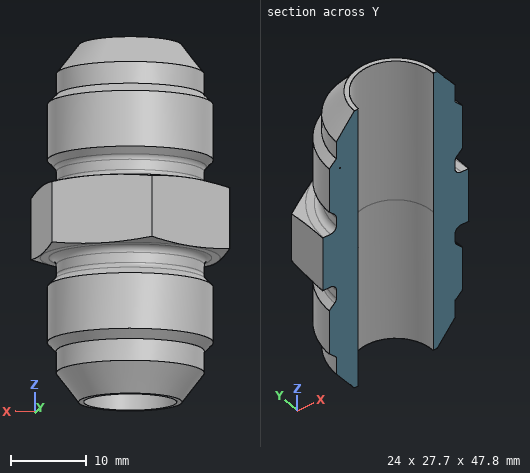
import cadquery as cq
import math

length = 47.8
bore_diameter = 12.3

across_flats = 24.0
across_corners = across_flats / math.cos(math.radians(30))
hex_height = 9.2
hex_face_diameter = 23.8
hex_chamfer_angle = 15.0

nose_diameter = 13.65
neck_diameter = 19.6
thread_diameter = 21.95
cone_length = 3.85
collar_length = 2.9
thread_length = 7.45
groove_fillet = 0.95

nose_radius = nose_diameter / 2
neck_radius = neck_diameter / 2
thread_radius = thread_diameter / 2
half_length = length / 2
half_hex = hex_height / 2


def make_end():
    """Solid of revolution for the upper end, from the part centre to the nose."""
    cone_base = half_length - cone_length
    collar_base = cone_base - collar_length
    chamfer = thread_radius - neck_radius
    thread_top = collar_base - chamfer
    thread_bottom = thread_top - thread_length

    diagonal = groove_fillet * math.sin(math.radians(45))
    arc_start_radius = neck_radius + groove_fillet - diagonal
    arc_start = thread_bottom - (thread_radius - arc_start_radius)
    groove_top = arc_start - diagonal
    groove_bottom = half_hex + groove_fillet
    foot_radius = neck_radius + groove_fillet

    return (
        cq.Workplane("XZ")
        .moveTo(0, 0)
        .lineTo(0, half_length)
        .lineTo(nose_radius, half_length)
        .lineTo(neck_radius, cone_base)
        .lineTo(neck_radius, collar_base)
        .lineTo(thread_radius, thread_top)
        .lineTo(thread_radius, thread_bottom)
        .lineTo(arc_start_radius, arc_start)
        .tangentArcPoint((neck_radius, groove_top), relative=False)
        .lineTo(neck_radius, groove_bottom)
        .tangentArcPoint((foot_radius, half_hex), relative=False)
        .lineTo(foot_radius, 0)
        .close()
        .revolve(360, (0, 0, 0), (0, 1, 0))
    )


def make_hexagon():
    """Hexagon with corners on the Y axis and conically chamfered corners."""
    prism = (
        cq.Workplane("XY")
        .polygon(6, across_corners)
        .extrude(half_hex, both=True)
        .rotate((0, 0, 0), (0, 0, 1), 30)
    )
    face_radius = hex_face_diameter / 2
    corner_radius = across_corners / 2
    corner_drop = (corner_radius - face_radius) * math.tan(math.radians(hex_chamfer_angle))
    corner_height = half_hex - corner_drop
    envelope = (
        cq.Workplane("XZ")
        .polyline([
            (0, -half_hex),
            (face_radius, -half_hex),
            (corner_radius, -corner_height),
            (corner_radius, corner_height),
            (face_radius, half_hex),
            (0, half_hex),
        ])
        .close()
        .revolve(360, (0, 0, 0), (0, 1, 0))
    )
    return prism.intersect(envelope)


upper_end = make_end()
lower_end = upper_end.mirror("XY")
bore = cq.Workplane("XY").circle(bore_diameter / 2).extrude(half_length, both=True)

result = make_hexagon().union(upper_end).union(lower_end).cut(bore)